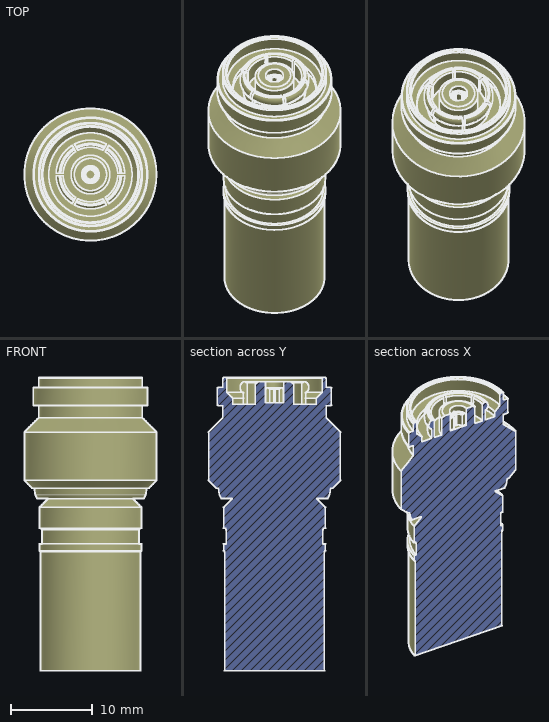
import cadquery as cq

TOTAL_HEIGHT = 35.95
ROOT_OVERLAP = 0.18

SLEEVE_R = 6.15
SHOULDER_R = 6.25
GROOVE_R = 5.95
GROOVE_LEAD_R = 6.05
FLANGE_BOTTOM_Z = 14.6
FLANGE_CHAMFER = SHOULDER_R - SLEEVE_R
FLANGE_TOP_Z = 15.53
GROOVE_TOP_Z = 17.45
GROOVE_LEAD_HEIGHT = 0.18
SHOULDER_TOP_Z = 20.02

BODY_DIAMETER = 16.2
BODY_R = BODY_DIAMETER / 2
BODY_BOTTOM_Z = 21.05
NECK_R = SHOULDER_R - (BODY_BOTTOM_Z - SHOULDER_TOP_Z)
SKIRT_BOTTOM_R = 6.55
SKIRT_STEP_R = 6.75
SKIRT_STEP_Z = 21.55
SKIRT_RIM_R = 6.8
SKIRT_RIM_Z = 21.65
SKIRT_TOP_R = 6.9
SKIRT_TOP_Z = 22.32
LOWER_CONE_R = 7.12
BODY_LOW_EDGE_Z = SKIRT_TOP_Z + (BODY_R - LOWER_CONE_R)
BODY_HIGH_EDGE_Z = 29.23

NOSE_R = 6.35
NOSE_BOTTOM_Z = BODY_HIGH_EDGE_Z + (BODY_R - NOSE_R)
COLLAR_R = 7.0
COLLAR_BOTTOM_Z = 32.43
COLLAR_TOP_Z = 34.73
COLLAR_CHAMFER = 0.1
RIM_CHAMFER = 0.15

BORE_R = 5.82
SOCKET_R = 5.1
SOCKET_CONE_TOP_Z = TOTAL_HEIGHT - 1.87
SOCKET_CONE_BOTTOM_Z = SOCKET_CONE_TOP_Z - (BORE_R - SOCKET_R)
SOCKET_FLOOR_Z = TOTAL_HEIGHT - 3.3

FINGER_TOP_Z = TOTAL_HEIGHT - 0.58
BEAD_BULGE = 0.4
BEAD_HEIGHT = 1.35
FINGER_OUTER_R = 3.8
FINGER_INNER_R = 3.35
FINGER_CHAMFER_R = 3.63
FINGER_CHAMFER_HEIGHT = 0.15
FINGER_SLOT_COUNT = 6
FINGER_SLOT_WIDTH = 0.32

INSULATOR_TOP_Z = TOTAL_HEIGHT - 0.55
INSULATOR_R = 2.37
INSULATOR_TOP_R = 1.98
INSULATOR_CHAMFER_HEIGHT = 0.25
CONTACT_HOLE_R = 1.08
CONTACT_TOP_Z = TOTAL_HEIGHT - 1.33
CONTACT_TOP_R = 0.95
CONTACT_CHAMFER = CONTACT_HOLE_R - CONTACT_TOP_R
CONTACT_BORE_R = 0.58
CONTACT_MOUTH_R = 0.75
CONTACT_MOUTH_DEPTH = 0.15
CONTACT_BORE_DEPTH = 1.8
CONTACT_SLOT_COUNT = 4
CONTACT_SLOT_WIDTH = 0.18


def revolve_profile(points):
    """Turn a closed outline of (radius, z) points about the Z axis."""
    return cq.Workplane("XZ").polyline(points).close().revolve(360, (0, 0, 0), (0, 1, 0))


def disc(radius, bottom_z, top_z):
    """Solid cylinder on the Z axis."""
    return cq.Workplane("XY").workplane(offset=bottom_z).circle(radius).extrude(top_z - bottom_z)


def radial_slots(count, width, inner_r, outer_r, bottom_z, top_z):
    """Evenly spaced radial cutters, the first one along +X."""
    slot = (
        cq.Workplane("XY")
        .workplane(offset=bottom_z)
        .center((inner_r + outer_r) / 2, 0)
        .rect(outer_r - inner_r, width)
        .extrude(top_z - bottom_z)
    )
    slots = slot
    for i in range(1, count):
        slots = slots.union(slot.rotate((0, 0, 0), (0, 0, 1), i * 360 / count))
    return slots


def make_shell():
    """Outside of the sleeve, body, nose and collar."""
    return revolve_profile([
        (0, 0),
        (SLEEVE_R, 0),
        (SLEEVE_R, FLANGE_BOTTOM_Z),
        (SHOULDER_R, FLANGE_BOTTOM_Z + FLANGE_CHAMFER),
        (SHOULDER_R, FLANGE_TOP_Z),
        (GROOVE_R, FLANGE_TOP_Z),
        (GROOVE_R, GROOVE_TOP_Z - GROOVE_LEAD_HEIGHT),
        (GROOVE_LEAD_R, GROOVE_TOP_Z),
        (SHOULDER_R, GROOVE_TOP_Z),
        (SHOULDER_R, SHOULDER_TOP_Z),
        (NECK_R, BODY_BOTTOM_Z),
        (SKIRT_BOTTOM_R, BODY_BOTTOM_Z),
        (SKIRT_STEP_R, SKIRT_STEP_Z),
        (SKIRT_RIM_R, SKIRT_RIM_Z),
        (SKIRT_TOP_R, SKIRT_TOP_Z),
        (LOWER_CONE_R, SKIRT_TOP_Z),
        (BODY_R, BODY_LOW_EDGE_Z),
        (BODY_R, BODY_HIGH_EDGE_Z),
        (NOSE_R, NOSE_BOTTOM_Z),
        (NOSE_R, COLLAR_BOTTOM_Z),
        (COLLAR_R - COLLAR_CHAMFER, COLLAR_BOTTOM_Z),
        (COLLAR_R, COLLAR_BOTTOM_Z + COLLAR_CHAMFER),
        (COLLAR_R, COLLAR_TOP_Z - COLLAR_CHAMFER),
        (COLLAR_R - COLLAR_CHAMFER, COLLAR_TOP_Z),
        (NOSE_R, COLLAR_TOP_Z),
        (NOSE_R, TOTAL_HEIGHT - RIM_CHAMFER),
        (NOSE_R - RIM_CHAMFER, TOTAL_HEIGHT),
        (0, TOTAL_HEIGHT),
    ])


def make_socket():
    """Open space inside the nose: chamfered mouth, bore, cone and flat floor."""
    return revolve_profile([
        (0, SOCKET_FLOOR_Z),
        (SOCKET_R, SOCKET_FLOOR_Z),
        (SOCKET_R, SOCKET_CONE_BOTTOM_Z),
        (BORE_R, SOCKET_CONE_TOP_Z),
        (BORE_R, TOTAL_HEIGHT - RIM_CHAMFER),
        (BORE_R + RIM_CHAMFER, TOTAL_HEIGHT),
        (0, TOTAL_HEIGHT),
    ])


def make_fingers():
    """Ring of spring fingers with a beaded tip, split by radial slots."""
    root_z = SOCKET_FLOOR_Z - ROOT_OVERLAP
    bead_bottom_z = FINGER_TOP_Z - BEAD_HEIGHT
    bead_crest = (FINGER_OUTER_R + BEAD_BULGE, FINGER_TOP_Z - BEAD_HEIGHT / 2)
    ring = (
        cq.Workplane("XZ")
        .moveTo(FINGER_INNER_R, root_z)
        .lineTo(FINGER_OUTER_R, root_z)
        .lineTo(FINGER_OUTER_R, bead_bottom_z)
        .threePointArc(bead_crest, (FINGER_OUTER_R, FINGER_TOP_Z))
        .lineTo(FINGER_CHAMFER_R, FINGER_TOP_Z)
        .lineTo(FINGER_INNER_R, FINGER_TOP_Z - FINGER_CHAMFER_HEIGHT)
        .close()
        .revolve(360, (0, 0, 0), (0, 1, 0))
    )
    slots = radial_slots(
        FINGER_SLOT_COUNT,
        FINGER_SLOT_WIDTH,
        INSULATOR_R,
        SOCKET_R,
        SOCKET_FLOOR_Z,
        TOTAL_HEIGHT,
    )
    return ring.cut(slots)


def make_insulator():
    """Central post with a chamfered top and a hole down to the shoulder of the contact."""
    post = revolve_profile([
        (0, SOCKET_FLOOR_Z - ROOT_OVERLAP),
        (INSULATOR_R, SOCKET_FLOOR_Z - ROOT_OVERLAP),
        (INSULATOR_R, INSULATOR_TOP_Z - INSULATOR_CHAMFER_HEIGHT),
        (INSULATOR_TOP_R, INSULATOR_TOP_Z),
        (0, INSULATOR_TOP_Z),
    ])
    return post.cut(disc(CONTACT_HOLE_R, CONTACT_TOP_Z - CONTACT_CHAMFER, INSULATOR_TOP_Z))


def make_contact_tip():
    """Chamfered tip of the centre contact, standing in the insulator hole."""
    shoulder_z = CONTACT_TOP_Z - CONTACT_CHAMFER
    return revolve_profile([
        (0, shoulder_z - ROOT_OVERLAP),
        (CONTACT_HOLE_R, shoulder_z - ROOT_OVERLAP),
        (CONTACT_HOLE_R, shoulder_z),
        (CONTACT_TOP_R, CONTACT_TOP_Z),
        (0, CONTACT_TOP_Z),
    ])


def make_contact_opening():
    """Countersunk bore of the centre contact with its cross slots."""
    bore_bottom_z = CONTACT_TOP_Z - CONTACT_BORE_DEPTH
    bore = revolve_profile([
        (0, bore_bottom_z),
        (CONTACT_BORE_R, bore_bottom_z),
        (CONTACT_BORE_R, CONTACT_TOP_Z - CONTACT_MOUTH_DEPTH),
        (CONTACT_MOUTH_R, CONTACT_TOP_Z),
        (0, CONTACT_TOP_Z),
    ])
    slots = radial_slots(
        CONTACT_SLOT_COUNT,
        CONTACT_SLOT_WIDTH,
        0,
        CONTACT_HOLE_R,
        bore_bottom_z,
        CONTACT_TOP_Z,
    )
    return bore.union(slots)


result = (
    make_shell()
    .cut(make_socket())
    .union(make_fingers())
    .union(make_insulator())
    .union(make_contact_tip())
    .cut(make_contact_opening())
)